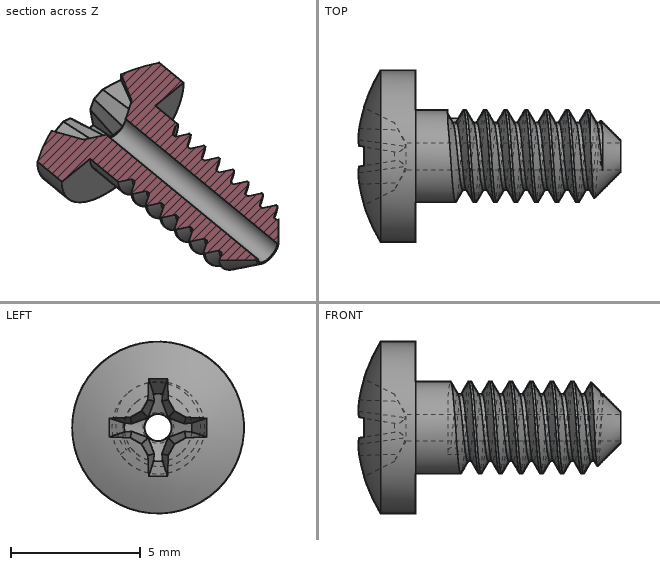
import cadquery as cq
import math

LENGTH = 10.15
HOLE_RADIUS = 0.52

HEAD_DIAMETER = 6.65
HEAD_RADIUS = HEAD_DIAMETER / 2
HEAD_END = 2.22
RIM_START = 0.87
DOME_APEX = -0.064

SHANK_RADIUS = 1.79
TIP_RADIUS = 0.6
CLEARANCE = 0.05
BLANK_END = LENGTH + 1.02
ENVELOPE_RADIUS = HEAD_RADIUS + 0.51
TIP_START = LENGTH - (SHANK_RADIUS - TIP_RADIUS)

PITCH = 0.79
ROOT_RADIUS = 1.31
CREST_FLAT = 0.09
FLANK_ANGLE = math.radians(30)
GROOVE_TURNS = 7.9
GROOVE_START = 3.64
GROOVE_START_ANGLE = -35
PLAIN_SHANK_END = 3.46
GROOVE_OVERCUT = 0.04

RECESS_MOUTH_X = 0.21
RECESS_DEPTH = 1.18
MOUTH_SECTION = (1.89, 0.37, 1.07, 0.61)
FLOOR_SECTION = (1.3, 0.17, 1.03, 0.45)
FLOOR_ANGLE = math.radians(30)


def make_body():
    """Domed head and an overlong shank, revolved about X."""
    dome_height = RIM_START - DOME_APEX
    dome_radius = (HEAD_RADIUS**2 + dome_height**2) / (2 * dome_height)
    half_angle = math.asin(HEAD_RADIUS / dome_radius) / 2
    dome_mid = (
        DOME_APEX + dome_radius * (1 - math.cos(half_angle)),
        dome_radius * math.sin(half_angle),
    )
    return (
        cq.Workplane("XY")
        .moveTo(DOME_APEX, 0)
        .threePointArc(dome_mid, (RIM_START, HEAD_RADIUS))
        .lineTo(HEAD_END, HEAD_RADIUS)
        .lineTo(HEAD_END, SHANK_RADIUS)
        .lineTo(BLANK_END, SHANK_RADIUS)
        .lineTo(BLANK_END, 0)
        .close()
        .revolve(360, (0, 0, 0), (1, 0, 0))
    )


def make_tip_envelope():
    """Region kept when the threaded shank is trimmed to its conical tip."""
    return (
        cq.Workplane("XY")
        .moveTo(DOME_APEX - CLEARANCE, 0)
        .lineTo(DOME_APEX - CLEARANCE, ENVELOPE_RADIUS)
        .lineTo(TIP_START - (ENVELOPE_RADIUS - SHANK_RADIUS), ENVELOPE_RADIUS)
        .lineTo(LENGTH, TIP_RADIUS)
        .lineTo(LENGTH, 0)
        .close()
        .revolve(360, (0, 0, 0), (1, 0, 0))
    )


def make_thread_groove():
    """Helical trapezoid that begins abruptly at the plain shank and runs out on the tip."""
    outer_radius = SHANK_RADIUS + GROOVE_OVERCUT
    half_mouth = (PITCH - CREST_FLAT) / 2
    half_outer = half_mouth + GROOVE_OVERCUT * math.tan(FLANK_ANGLE)
    half_root = half_mouth - (SHANK_RADIUS - ROOT_RADIUS) * math.tan(FLANK_ANGLE)
    helix = cq.Wire.makeHelix(PITCH, GROOVE_TURNS * PITCH, ROOT_RADIUS)
    groove = (
        cq.Workplane("XZ")
        .polyline([
            (ROOT_RADIUS, -half_root),
            (outer_radius, -half_outer),
            (outer_radius, half_outer),
            (ROOT_RADIUS, half_root),
        ])
        .close()
        .sweep(cq.Workplane(obj=helix), isFrenet=True)
    )
    axis_plane = cq.Plane(origin=(GROOVE_START, 0, 0), xDir=(0, 1, 0), normal=(1, 0, 0))
    groove = cq.Workplane(obj=groove.val().moved(cq.Location(axis_plane)))
    groove = groove.rotate((0, 0, 0), (1, 0, 0), GROOVE_START_ANGLE)
    plain_shank = (
        cq.Workplane("YZ", origin=(HEAD_END, 0, 0))
        .circle(HEAD_RADIUS)
        .extrude(PLAIN_SHANK_END - HEAD_END)
    )
    return groove.cut(plain_shank)


def cross_points(section):
    """Outline of a four-armed cross with one cut-back corner between adjacent arms."""
    arm_length, half_width, arm_root, corner = section
    arm = [
        (arm_root, -half_width),
        (arm_length, -half_width),
        (arm_length, half_width),
        (arm_root, half_width),
        (corner, corner),
    ]
    points = []
    for quarter in range(4):
        angle = quarter * math.pi / 2
        for u, v in arm:
            points.append((
                u * math.cos(angle) - v * math.sin(angle),
                u * math.sin(angle) + v * math.cos(angle),
            ))
    return points


def make_recess():
    """Tapered cross that deepens towards the axis with a conical floor."""
    floor_x = RECESS_MOUTH_X + RECESS_DEPTH
    cone_height = FLOOR_SECTION[0] * math.tan(FLOOR_ANGLE)

    def section_at(x):
        blend = (x - RECESS_MOUTH_X) / RECESS_DEPTH
        return tuple(m + blend * (f - m) for m, f in zip(MOUTH_SECTION, FLOOR_SECTION))

    outer_x = DOME_APEX - CLEARANCE
    floor_drop = (FLOOR_SECTION[0] - HOLE_RADIUS) * math.tan(FLOOR_ANGLE)
    inner_x = floor_x + floor_drop + CLEARANCE
    cross = (
        cq.Workplane("YZ", origin=(outer_x, 0, 0))
        .polyline(cross_points(section_at(outer_x)))
        .close()
        .workplane(offset=inner_x - outer_x)
        .polyline(cross_points(section_at(inner_x)))
        .close()
        .loft(ruled=True)
    )
    cone_limit = (
        cq.Workplane("XY")
        .moveTo(outer_x, 0)
        .lineTo(outer_x, HEAD_RADIUS)
        .lineTo(floor_x, HEAD_RADIUS)
        .lineTo(floor_x, FLOOR_SECTION[0])
        .lineTo(floor_x + cone_height, 0)
        .close()
        .revolve(360, (0, 0, 0), (1, 0, 0))
    )
    return cross.intersect(cone_limit)


hole = cq.Workplane("YZ").circle(HOLE_RADIUS).extrude(LENGTH)
threaded = make_body().cut(make_thread_groove())
result = threaded.intersect(make_tip_envelope()).cut(make_recess()).cut(hole)